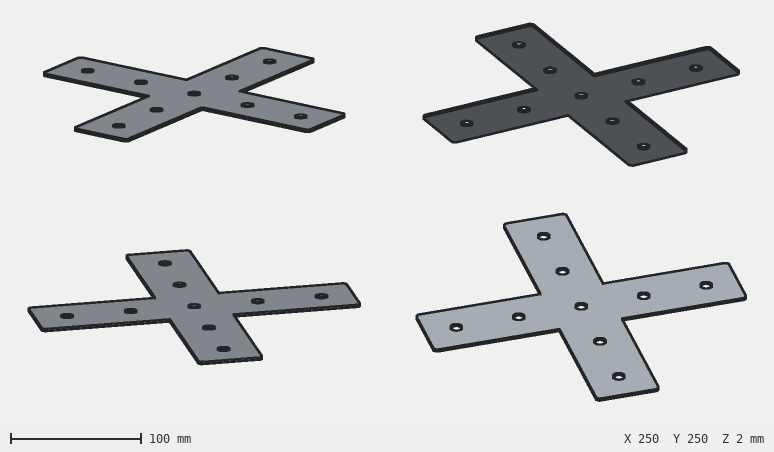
import cadquery as cq

span = 250.0
arm_width = 50.0
thickness = 2.0
corner_size = 2.0
hole_diameter = 9.0
hole_pitch = 50.0
holes_per_side = 2


def arm(length_x, length_y):
    """Flat bar through the centre with its four outer corners cut off."""
    bar = cq.Workplane("XY").box(length_x, length_y, thickness)
    return bar.edges("|Z").chamfer(corner_size)


def hole_centres():
    """Centre hole plus evenly spaced holes along both arms."""
    centres = [(0, 0)]
    for step in range(1, holes_per_side + 1):
        offset = step * hole_pitch
        centres += [(offset, 0), (-offset, 0), (0, offset), (0, -offset)]
    return centres


cross = arm(span, arm_width).union(arm(arm_width, span))
result = cross.faces(">Z").workplane(origin=(0, 0, 0)).pushPoints(hole_centres()).hole(hole_diameter)